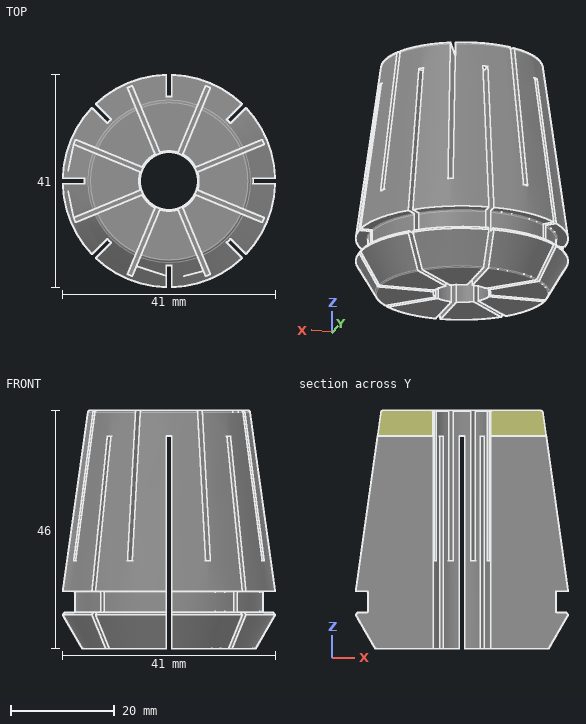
import cadquery as cq
import math

length = 46.0
max_diameter = 41.0
bore_diameter = 11.11

taper_half_angle = 8.0
taper_base_z = 11.1
top_rounding = 0.5
bore_chamfer = 0.25

groove_base_z = 7.05
groove_diameter = 36.3
groove_corner_radius = 0.2
nose_half_angle = 30.0
nose_rim_z = 6.55
nose_rim_bevel = 0.4
nose_rounding = 0.3

slit_width = 1.0
slits_per_end = 8
top_bridge_height = 5.0
nose_slit_top_z = length - top_bridge_height
top_slit_floor_z = 17.0

max_radius = max_diameter / 2
bore_radius = bore_diameter / 2
groove_radius = groove_diameter / 2
top_radius = max_radius - (length - taper_base_z) * math.tan(math.radians(taper_half_angle))
nose_radius = max_radius - nose_rim_z * math.tan(math.radians(nose_half_angle))
slit_pitch = 360.0 / slits_per_end


def is_groove_corner(edge):
    """Tell whether a circular edge lies at the floor radius of the extraction groove."""
    return math.isclose(edge.radius(), groove_radius)


def collet_blank():
    """Revolved body with nose cone, groove, taper and bore; the half profile lies in XZ."""
    half_profile = [
        (bore_radius, 0),
        (nose_radius, 0),
        (max_radius, nose_rim_z),
        (max_radius - nose_rim_bevel, groove_base_z),
        (groove_radius, groove_base_z),
        (groove_radius, taper_base_z),
        (max_radius, taper_base_z),
        (top_radius, length),
        (bore_radius + bore_chamfer, length),
        (bore_radius, length - bore_chamfer),
    ]
    blank = cq.Workplane("XZ").polyline(half_profile).close().revolve(360, (0, 0), (0, 1))

    outermost = cq.selectors.RadiusNthSelector(-1)
    blank = blank.faces(">Z").edges(outermost).fillet(top_rounding)
    blank = blank.faces("<Z").edges(outermost).fillet(nose_rounding)
    groove_corners = blank.edges("%CIRCLE").filter(is_groove_corner)
    return groove_corners.fillet(groove_corner_radius)


def cut_slits(body, bottom_z, top_z, first_angle):
    """Cut a ring of radial slits between two heights, each running from the axis outward."""
    slit = (
        cq.Workplane("XY", origin=(0, 0, bottom_z))
        .rect(max_diameter, slit_width)
        .extrude(top_z - bottom_z)
        .translate((max_radius, 0, 0))
    )
    for index in range(slits_per_end):
        angle = first_angle + index * slit_pitch
        body = body.cut(slit.rotate((0, 0, 0), (0, 0, 1), angle))
    return body


collet = collet_blank()
collet = cut_slits(collet, 0, nose_slit_top_z, 0)
collet = cut_slits(collet, top_slit_floor_z, length, slit_pitch / 2)
result = collet